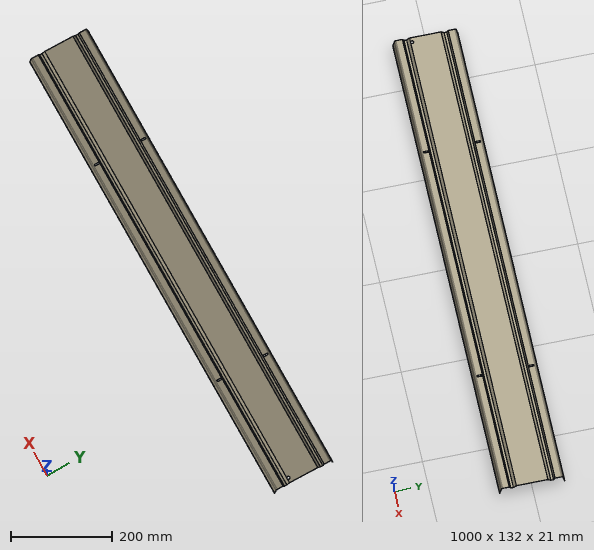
import cadquery as cq
import math

LENGTH = 1000.0
WIDTH = 132.0
HEIGHT = 21.0
SHEET = 0.8

SHOULDER_Y = 62.0
BEND_RADIUS = 3.0
GROOVE_TOP_INNER_Y = 32.0
GROOVE_FLOOR_INNER_Y = 38.0
GROOVE_FLOOR_OUTER_Y = 43.0
GROOVE_TOP_OUTER_Y = 46.0
GROOVE_DEPTH = 6.0

SLIT_X = LENGTH / 4
SLIT_WIDTH = 3.0
SLIT_START_Y = 47.0
SLIT_END_Y = 57.0

HOLE_DIAMETER = 6.0
HOLE_END_DISTANCE = 10.0
HOLE_Y = -29.0


def full_width(half_outline):
    """Mirror points (y, z) about the centre plane to span the whole section."""
    return [(-y, z) for y, z in reversed(half_outline)] + half_outline


def inward_shift(run, rise):
    """Sideways shift between the two faces of a sloping wall of sheet thickness."""
    return SHEET * (math.hypot(run, rise) - abs(run)) / rise


def folded_sheet():
    """Sheet along X with two grooves and two splayed legs."""
    top = HEIGHT
    floor = HEIGHT - GROOVE_DEPTH
    inner_wall = inward_shift(GROOVE_FLOOR_INNER_Y - GROOVE_TOP_INNER_Y, GROOVE_DEPTH)
    outer_wall = inward_shift(GROOVE_TOP_OUTER_Y - GROOVE_FLOOR_OUTER_Y, GROOVE_DEPTH)
    leg_run = WIDTH / 2 - SHOULDER_Y
    leg_shift = inward_shift(leg_run, HEIGHT)
    leg_thickness = SHEET * math.hypot(leg_run, HEIGHT) / HEIGHT

    upper_face = [
        (GROOVE_TOP_INNER_Y, top),
        (GROOVE_FLOOR_INNER_Y, floor),
        (GROOVE_FLOOR_OUTER_Y, floor),
        (GROOVE_TOP_OUTER_Y, top),
        (SHOULDER_Y, top),
        (WIDTH / 2, 0),
    ]
    lower_face = [
        (GROOVE_TOP_INNER_Y - inner_wall, top - SHEET),
        (GROOVE_FLOOR_INNER_Y - inner_wall, floor - SHEET),
        (GROOVE_FLOOR_OUTER_Y + outer_wall, floor - SHEET),
        (GROOVE_TOP_OUTER_Y + outer_wall, top - SHEET),
        (SHOULDER_Y - leg_shift, top - SHEET),
        (WIDTH / 2 - leg_thickness, 0),
    ]
    outline = full_width(upper_face) + full_width(lower_face)[::-1]
    sheet = cq.Workplane("YZ").polyline(outline).close().extrude(LENGTH / 2, both=True)

    def shoulder_edges(body, y, z):
        for side in (-1, 1):
            corner = cq.selectors.NearestToPointSelector((0, side * y, z))
            yield body.edges("|X").edges(corner).val()

    outer_edges = list(shoulder_edges(sheet, SHOULDER_Y, top))
    sheet = sheet.newObject(outer_edges).fillet(BEND_RADIUS)
    inner_edges = list(shoulder_edges(sheet, SHOULDER_Y - leg_shift, top - SHEET))
    return sheet.newObject(inner_edges).fillet(BEND_RADIUS - SHEET)


def cross_slits():
    """Four narrow slits, two along each flat side strip."""
    middle_y = (SLIT_START_Y + SLIT_END_Y) / 2
    places = [(x, y) for x in (-SLIT_X, SLIT_X) for y in (-middle_y, middle_y)]
    slits = cq.Workplane("XY").pushPoints(places)
    return slits.rect(SLIT_WIDTH, SLIT_END_Y - SLIT_START_Y).extrude(HEIGHT)


def end_hole():
    """Cutter for the round hole in the middle panel."""
    hole = cq.Workplane("XY").center(HOLE_END_DISTANCE - LENGTH / 2, HOLE_Y)
    return hole.circle(HOLE_DIAMETER / 2).extrude(HEIGHT)


result = folded_sheet().cut(cross_slits()).cut(end_hole())